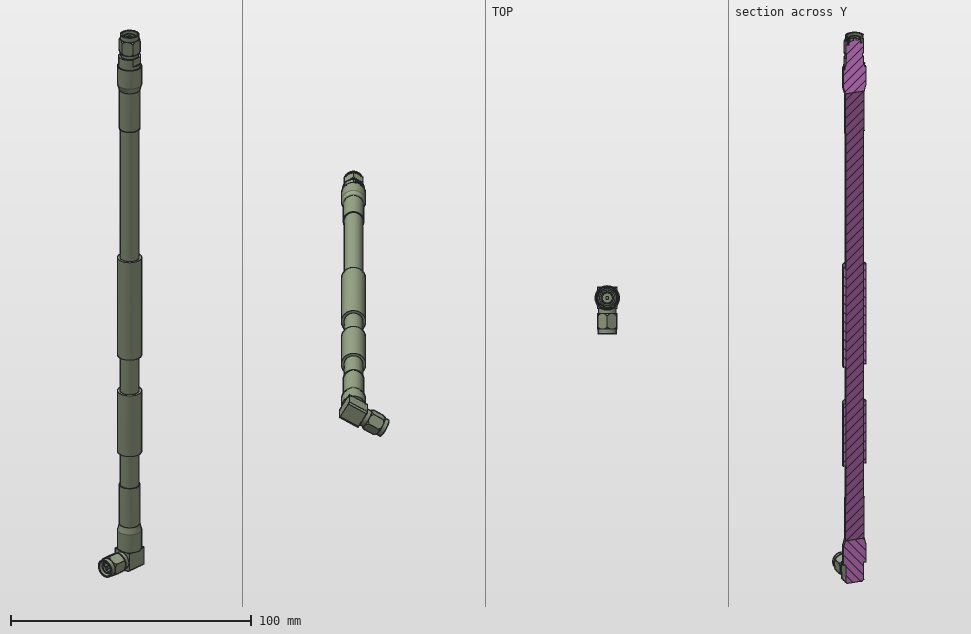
import cadquery as cq
import math

overall_length = 247.2
upper_collar_top = 232.5
upper_collar_bottom = 221.5
upper_boot_bottom = 203.7
long_sleeve_bottom = 98.4
long_sleeve_length = 45.2
short_sleeve_bottom = 53.6
short_sleeve_length = 28.2
lower_boot_top = 38.3
lower_collar_top = 20.0
lower_collar_bottom = 9.0

cable_diameter = 8.0
sleeve_diameter = 10.1
boot_diameter = 8.7
collar_diameter = 10.1
collar_taper_length = 2.7

nut_sides = 6
nut_across_flats = 8.0
nut_chamfer_length = 1.0
nut_chamfer_width = 0.5
nut_length = 6.5
nut_corner_radius = nut_across_flats / math.sqrt(3)
neck_diameter = 7.5
rim_diameter = 7.7
rim_length = 2.0
socket_diameter = 6.5
socket_depth = 3.7
contact_sleeve_diameter = 5.2
insulator_diameter = 4.2
insulator_depth = 2.0
contact_recess = 1.0
pin_diameter = 1.2

shank_diameter = 9.1
shank_top = 237.3
wrench_flat_bottom = 234.0
across_wrench_flats = 8.0

overall_depth = 20.0
block_width = 8.2
block_depth = 9.0
block_bottom = 0.5
block_edge_chamfer = 0.7
angled_plug_reach = overall_depth - collar_diameter / 2
angled_plug_height = nut_corner_radius


def cylinder(diameter, bottom, top):
    return cq.Workplane("XY").workplane(offset=bottom).circle(diameter / 2).extrude(top - bottom)


def tube_around_cable(diameter, bottom, top):
    return cylinder(diameter, bottom, top).cut(cylinder(cable_diameter, bottom, top))


def revolve_about_z(profile):
    """Solid of revolution from (radius, height) points."""
    return cq.Workplane("XZ").polyline(profile).close().revolve(360, (0, 0, 0), (0, 1, 0))


def make_nut(bottom):
    """Hexagonal nut with flats facing +X and -X and turned-down corners at both ends."""
    hexagon = (
        cq.Workplane("XY")
        .workplane(offset=bottom)
        .polygon(nut_sides, 2 * nut_corner_radius)
        .extrude(nut_length)
        .rotate((0, 0, 0), (0, 0, 1), 180 / nut_sides)
    )
    top = bottom + nut_length
    end_radius = nut_corner_radius - nut_chamfer_width
    profile = [
        (0, bottom),
        (end_radius, bottom),
        (nut_corner_radius, bottom + nut_chamfer_length),
        (nut_corner_radius, top - nut_chamfer_length),
        (end_radius, top),
        (0, top),
    ]
    return hexagon.intersect(revolve_about_z(profile))


def make_plug(neck_length):
    """Plug along +Z with its front face at Z = 0."""
    nut_bottom = -rim_length - nut_length
    plug = cylinder(neck_diameter, nut_bottom - neck_length, -rim_length)
    plug = plug.union(make_nut(nut_bottom))
    plug = plug.union(cylinder(rim_diameter, -rim_length, 0))
    socket = cylinder(socket_diameter, -socket_depth, 0)
    contact_sleeve = cylinder(contact_sleeve_diameter, -socket_depth, -contact_recess)
    insulator_recess = cylinder(insulator_diameter, -insulator_depth, 0)
    pin = cylinder(pin_diameter, -socket_depth, -contact_recess)
    return plug.cut(socket).union(contact_sleeve).cut(insulator_recess).union(pin)


def make_collar(bottom, top):
    """Collar whose upper end tapers down to the boot diameter."""
    taper_bottom = top - collar_taper_length
    profile = [
        (0, bottom),
        (collar_diameter / 2, bottom),
        (collar_diameter / 2, taper_bottom),
        (boot_diameter / 2, top),
        (0, top),
    ]
    return revolve_about_z(profile)


def make_straight_connector():
    collar_middle = (upper_collar_top + upper_collar_bottom) / 2
    collar = make_collar(upper_collar_bottom, upper_collar_top).mirror("XY", (0, 0, collar_middle))
    shank = cylinder(shank_diameter, upper_collar_top, shank_top)
    flat_height = shank_top - wrench_flat_bottom
    flatted_zone = (
        cq.Workplane("XY")
        .box(across_wrench_flats, shank_diameter, flat_height, centered=(True, True, False))
        .translate((0, 0, wrench_flat_bottom))
    )
    round_zone = cylinder(shank_diameter, upper_collar_top, wrench_flat_bottom)
    shank = shank.intersect(flatted_zone.union(round_zone))
    neck_length = overall_length - rim_length - nut_length - shank_top
    plug = make_plug(neck_length).translate((0, 0, overall_length))
    boot = tube_around_cable(boot_diameter, upper_boot_bottom, upper_collar_bottom)
    return collar.union(shank).union(plug).union(boot)


def make_angled_connector():
    block_height = lower_collar_bottom - block_bottom
    block = (
        cq.Workplane("XY")
        .box(block_width, block_depth, block_height, centered=(True, True, False))
        .edges("|Y and <Z")
        .chamfer(block_edge_chamfer)
        .translate((0, 0, block_bottom))
    )
    neck_length = angled_plug_reach - rim_length - nut_length - block_depth / 2
    plug = (
        make_plug(neck_length)
        .rotate((0, 0, 0), (1, 0, 0), 90)
        .translate((0, -angled_plug_reach, angled_plug_height))
    )
    collar = make_collar(lower_collar_bottom, lower_collar_top)
    boot = tube_around_cable(boot_diameter, lower_collar_top, lower_boot_top)
    return block.union(plug).union(collar).union(boot)


def make_cable():
    return cylinder(cable_diameter, lower_collar_top, upper_collar_bottom)


def make_sleeve(bottom, length):
    return tube_around_cable(sleeve_diameter, bottom, bottom + length)


straight_connector = make_straight_connector()
angled_connector = make_angled_connector()
cable = make_cable()
sleeve_spans = [
    (long_sleeve_bottom, long_sleeve_length),
    (short_sleeve_bottom, short_sleeve_length),
]
sleeves = [make_sleeve(bottom, length) for bottom, length in sleeve_spans]

result = cq.Compound.makeCompound(
    [
        straight_connector.val(),
        angled_connector.val(),
        cable.val(),
        *[sleeve.val() for sleeve in sleeves],
    ]
)